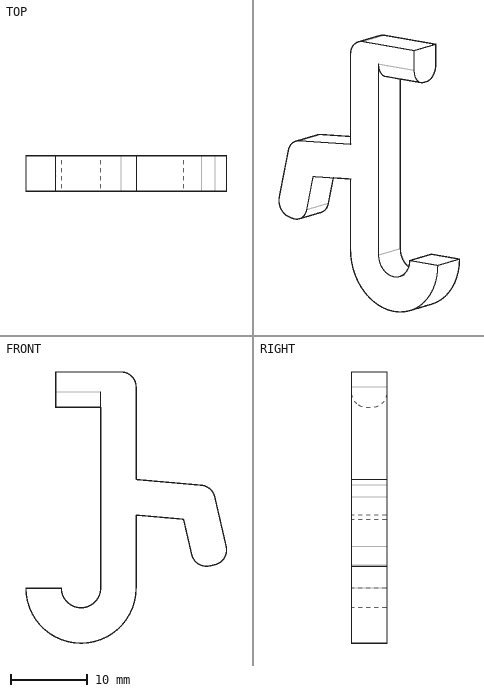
import cadquery as cq
import math

bar = 4.65
bend_inner_radius = 2.55
bend_outer_radius = bend_inner_radius + bar
spine_height = 28.2
top_arm_reach = 5.85
edge_radius = 2.0

prong_root_height = 9.5
prong_underside_run = 6.15
prong_droop = math.radians(5)
leg_tilt = math.radians(13)
leg_length = 6.7


def extrude_centred(sketch):
    """Extrude an XZ outline to the bar thickness, symmetric about Y = 0."""
    return sketch.extrude(bar / 2, both=True)


def make_hook():
    """Straight spine running into a half-circle bend at its lower end."""
    outline = (
        cq.Workplane("XZ")
        .moveTo(bend_outer_radius, spine_height)
        .lineTo(bend_outer_radius, 0)
        .threePointArc((0, -bend_outer_radius), (-bend_outer_radius, 0))
        .lineTo(-bend_inner_radius, 0)
        .threePointArc((0, -bend_inner_radius), (bend_inner_radius, 0))
        .lineTo(bend_inner_radius, spine_height)
        .close()
    )
    return extrude_centred(outline)


def make_top_arm():
    """Arm at the top of the spine with its two lower long edges rounded."""
    arm_length = top_arm_reach + bar / 2
    arm = cq.Workplane("XY").box(arm_length, bar, bar, centered=(False, True, False))
    arm = arm.edges("|X and <Z").fillet(edge_radius)
    return arm.translate((bend_inner_radius - top_arm_reach, 0, spine_height - bar))


def make_prong():
    """Drooping arm with a tilted leg, rounded at the elbow and the tip."""
    slope = math.tan(prong_droop)
    spine_face = bend_outer_radius
    root_x = spine_face - bar / 2
    leg_x, leg_z = math.sin(leg_tilt), -math.cos(leg_tilt)
    across_x, across_z = math.cos(leg_tilt), math.sin(leg_tilt)

    def underside(x):
        return prong_root_height - (x - spine_face) * slope

    def topside(x):
        return underside(x) + bar / math.cos(prong_droop)

    inside_x = spine_face + prong_underside_run
    inside_z = underside(inside_x)
    inner_tip = (inside_x + leg_length * leg_x, inside_z + leg_length * leg_z)
    outer_tip = (inner_tip[0] + bar * across_x, inner_tip[1] + bar * across_z)

    gap = topside(outer_tip[0]) - outer_tip[1]
    distance = gap / (math.cos(leg_tilt) - math.sin(leg_tilt) * slope)
    elbow = (outer_tip[0] - distance * leg_x, outer_tip[1] - distance * leg_z)

    outline = (
        cq.Workplane("XZ")
        .moveTo(root_x, underside(root_x))
        .lineTo(inside_x, inside_z)
        .lineTo(*inner_tip)
        .lineTo(*outer_tip)
        .lineTo(*elbow)
        .lineTo(root_x, topside(root_x))
        .close()
    )
    prong = extrude_centred(outline)
    for corner_x, corner_z in (inner_tip, outer_tip, elbow):
        corner = cq.selectors.NearestToPointSelector((corner_x, 0, corner_z))
        prong = prong.edges("|Y").edges(corner).fillet(edge_radius)
    return prong


hook = make_hook().edges("|Y and >Z and >X").fillet(edge_radius)
result = hook.union(make_top_arm()).union(make_prong())